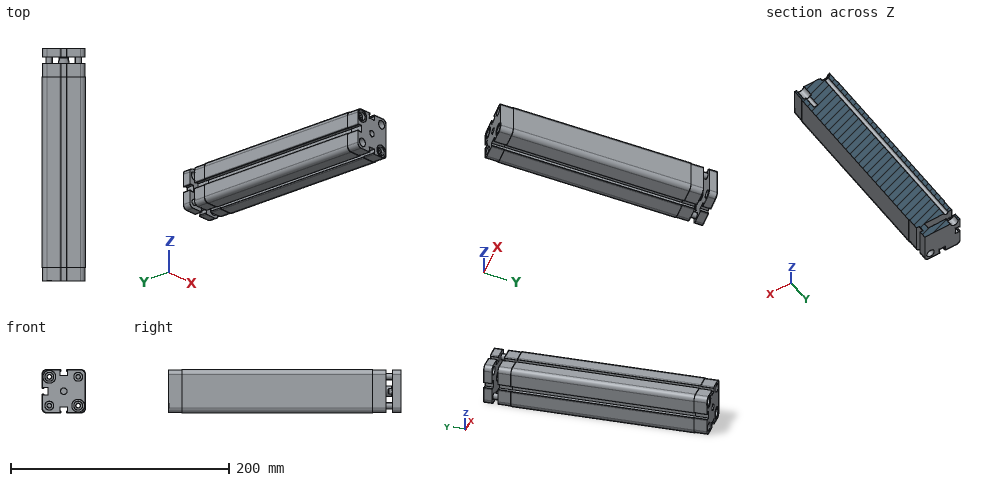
import cadquery as cq

TOTAL_LENGTH = 213.0
CAP_LENGTH = 12.4
GAP_LENGTH = 5.8
PLATE_LENGTH = 7.9
BODY_LENGTH = TOTAL_LENGTH - PLATE_LENGTH - GAP_LENGTH
PLATE_START = TOTAL_LENGTH - PLATE_LENGTH

BODY_SIDE = 40.0
CAP_SIDE = 39.2
CORNER_CENTRE = 15.1

SLOT_WIDTH = 6.8
LIP_RADIUS = 0.75
CAP_SLOT_FLOOR = 14.5
BODY_SLOT_FLOOR = 14.3

HOLE_OFFSET = 13.2
SCREW_HOLE_DIAMETER = 4.0
BLIND_HOLE_DEPTH = 25.5
COUNTERBORE_DIAMETER = 8.0
COUNTERBORE_DEPTH = CAP_LENGTH
SEATED_COUNTERBORE_DEPTH = 3.2
SEAT_DIAMETER = 11.7
SEAT_DEPTH = 0.5
PLATE_HOLE_DIAMETER = 8.0

CENTRE_HOLE_DIAMETER = 6.0
CENTRE_HOLE_DEPTH = CAP_LENGTH

GUIDE_ROD_DIAMETER = 6.0
GUIDE_ROD_OFFSET = 13.5
PISTON_ROD_DIAMETER = 10.0
PISTON_ROD_CHAMFER = 0.9
FLAT_WIDTH = 8.5
FLAT_LENGTH = 3.0
FLAT_RUNOUT = 1.3


def falling_diagonal(offset):
    """The (x, z) corners at upper -X and lower +X."""
    return [(-offset, offset), (offset, -offset)]


def rising_diagonal(offset):
    """The (x, z) corners at lower -X and upper +X."""
    return [(-offset, -offset), (offset, offset)]


THROUGH_HOLES = falling_diagonal(HOLE_OFFSET)
BLIND_HOLES = rising_diagonal(HOLE_OFFSET)
GUIDE_RODS = rising_diagonal(GUIDE_ROD_OFFSET)


def section_at(y):
    """Workplane across the part at y: local x is X, local y is Z, extrusion runs toward +Y."""
    return cq.Workplane("XZ", origin=(0, y, 0))


def rounded_bar(side, start, length):
    """Square bar along Y whose corner arcs share their centres with the other bars."""
    radius = side / 2 - CORNER_CENTRE
    bar = section_at(start).rect(side, side).extrude(-length)
    return bar.edges("|Y").fillet(radius)


def cylinders(points, diameter, start, length):
    """Cylinders along Y, centred on the given (x, z) points."""
    return section_at(start).pushPoints(points).circle(diameter / 2).extrude(-length)


def lipped_slot(side, start, length, floor):
    """Cutter for one slot open toward +Z; its mouth runs between two half-round lips."""
    face = side / 2
    wall = SLOT_WIDTH / 2
    lip_tip = wall - LIP_RADIUS
    lip_middle = face - LIP_RADIUS
    lip_bottom = face - 2 * LIP_RADIUS
    return (
        section_at(start)
        .moveTo(-wall, floor)
        .lineTo(wall, floor)
        .lineTo(wall, lip_bottom)
        .threePointArc((lip_tip, lip_middle), (wall, face))
        .lineTo(-wall, face)
        .threePointArc((-lip_tip, lip_middle), (-wall, lip_bottom))
        .close()
        .extrude(-length)
    )


def slotted_bar(side, start, length, floor):
    """Bar with slots on its top, bottom and -X sides."""
    bar = rounded_bar(side, start, length)
    cutter = lipped_slot(side, start, length, floor)
    for angle in (0, -90, 180):
        bar = bar.cut(cutter.rotate((0, 0, 0), (0, 1, 0), angle))
    return bar


def piston_rod():
    """Rod with a chamfered end at the plate and a wrench flat on each X side."""
    rod = cylinders([(0, 0)], PISTON_ROD_DIAMETER, BODY_LENGTH, GAP_LENGTH)
    rod = rod.faces(">Y").chamfer(PISTON_ROD_CHAMFER)
    flat = FLAT_WIDTH / 2
    outside = PISTON_ROD_DIAMETER / 2
    run_out_start = PLATE_START - FLAT_LENGTH
    cutter = (
        cq.Workplane("XY", origin=(0, 0, -outside))
        .moveTo(flat, PLATE_START)
        .lineTo(flat, run_out_start)
        .lineTo(outside, run_out_start - FLAT_RUNOUT)
        .lineTo(outside, PLATE_START)
        .close()
        .extrude(2 * outside)
    )
    return rod.cut(cutter).cut(cutter.mirror("YZ"))


body = slotted_bar(CAP_SIDE, 0, CAP_LENGTH, CAP_SLOT_FLOOR)
body = body.union(slotted_bar(BODY_SIDE, CAP_LENGTH, BODY_LENGTH - 2 * CAP_LENGTH, BODY_SLOT_FLOOR))
body = body.union(slotted_bar(CAP_SIDE, BODY_LENGTH - CAP_LENGTH, CAP_LENGTH, CAP_SLOT_FLOOR))

body = body.cut(cylinders([(0, 0)], CENTRE_HOLE_DIAMETER, 0, CENTRE_HOLE_DEPTH))
body = body.cut(cylinders(BLIND_HOLES, COUNTERBORE_DIAMETER, 0, COUNTERBORE_DEPTH))
body = body.cut(cylinders(THROUGH_HOLES, COUNTERBORE_DIAMETER, 0, SEATED_COUNTERBORE_DEPTH))
body = body.cut(cylinders(BLIND_HOLES, SCREW_HOLE_DIAMETER, 0, BLIND_HOLE_DEPTH))
body = body.cut(cylinders(THROUGH_HOLES, SCREW_HOLE_DIAMETER, 0, BODY_LENGTH))
body = body.cut(cylinders(THROUGH_HOLES, SEAT_DIAMETER, 0, SEAT_DEPTH))

plate = slotted_bar(CAP_SIDE, PLATE_START, PLATE_LENGTH, CAP_SLOT_FLOOR)
plate = plate.cut(cylinders(THROUGH_HOLES, PLATE_HOLE_DIAMETER, PLATE_START, PLATE_LENGTH))

result = (
    body.union(cylinders(GUIDE_RODS, GUIDE_ROD_DIAMETER, BODY_LENGTH, GAP_LENGTH))
    .union(piston_rod())
    .union(plate)
)